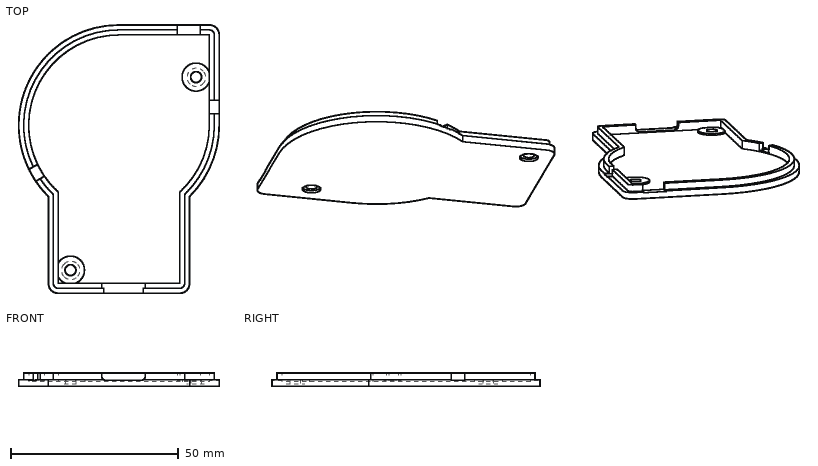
import cadquery as cq
import math

head_radius = 30.0
neck_width = 42.25
neck_end_y = -50.25
corner_radius = 3.0

floor_z = 1.5
ledge_z = 2.0
rim_top_z = 4.0

ledge_width = 1.5
wall_width = 1.5
pocket_inset = ledge_width + wall_width

screw_points = [(23.05, 14.4), (-14.5, -43.3)]
boss_radius = 4.2
boss_top_z = 2.0
screw_hole_diameter = 3.2
head_recess_depth = 0.75
head_recess_diameter = 5.5

notch_floor_z = 1.8
notch_length = 2 * pocket_inset
top_notch_x = 20.85
top_notch_width = 6.8
side_notch_width = 4.1
right_notch_y = 5.45
angled_notch_direction = 210.0

connector_x = 1.35
connector_width = 13.1
connector_floor_z = notch_floor_z
connector_corner_radius = 1.3


def outline_solid(inset, bottom_z, top_z):
    """Prism of the outline shrunk by inset, from bottom_z to top_z."""
    height = top_z - bottom_z
    radius = head_radius - inset
    half_neck = neck_width / 2 - inset
    neck_length = -(neck_end_y + inset)
    fillet = corner_radius - inset
    base = cq.Workplane("XY").workplane(offset=bottom_z)
    head = base.circle(radius).extrude(height)
    square = base.rect(radius, radius, centered=False).extrude(height)
    neck = base.center(0, -neck_length / 2).rect(2 * half_neck, neck_length).extrude(height)
    if fillet > 0:
        square = square.edges("|Z and >X and >Y").fillet(fillet)
        neck = neck.edges("|Z and <Y").fillet(fillet)
    return head.union(square).union(neck).clean()


def make_tray():
    base = outline_solid(0, 0, ledge_z)
    wall = outline_solid(ledge_width, ledge_z, rim_top_z)
    pocket = outline_solid(pocket_inset, floor_z, rim_top_z)
    return base.union(wall).cut(pocket)


def make_bosses():
    """Low round pads, trimmed where they would run outside the pocket."""
    pads = (
        cq.Workplane("XY")
        .workplane(offset=floor_z)
        .pushPoints(screw_points)
        .circle(boss_radius)
        .extrude(boss_top_z - floor_z)
    )
    return pads.intersect(outline_solid(pocket_inset, floor_z, boss_top_z))


def make_screw_holes():
    """Cutters for the through holes and their head recesses."""
    points = cq.Workplane("XY").pushPoints(screw_points)
    shanks = points.circle(screw_hole_diameter / 2).extrude(boss_top_z)
    heads = points.circle(head_recess_diameter / 2).extrude(head_recess_depth)
    return shanks.union(heads)


def make_notch(x, y, width, direction):
    """Cutter for a notch across the rim at (x, y); direction is its outward angle."""
    height = rim_top_z - notch_floor_z
    block = cq.Workplane("XY").box(notch_length, width, height, centered=(False, True, False))
    return block.rotate((0, 0, 0), (0, 0, 1), direction).translate((x, y, notch_floor_z))


def make_rim_notches():
    inner = head_radius - pocket_inset
    angled_start = inner - wall_width
    angle = math.radians(angled_notch_direction)
    top = make_notch(top_notch_x, inner, top_notch_width, 90)
    right = make_notch(inner, right_notch_y, side_notch_width, 0)
    angled = make_notch(
        angled_start * math.cos(angle),
        angled_start * math.sin(angle),
        side_notch_width,
        angled_notch_direction,
    )
    return top.union(right).union(angled)


def make_connector_opening():
    """Cutter with rounded lower corners, open at the top of the rim."""
    height = rim_top_z - connector_floor_z + connector_corner_radius
    return (
        cq.Workplane("XY")
        .box(connector_width, 2 * notch_length, height, centered=(True, True, False))
        .edges("|Y and <Z")
        .fillet(connector_corner_radius)
        .translate((connector_x, neck_end_y, connector_floor_z))
    )


result = (
    make_tray()
    .union(make_bosses())
    .cut(make_screw_holes())
    .cut(make_rim_notches())
    .cut(make_connector_opening())
)